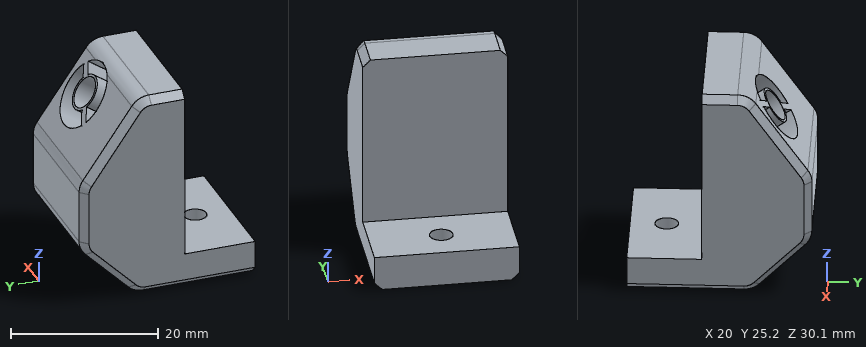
import cadquery as cq
import math

width = 20.0
depth = 25.2
height = 30.07
foot_length = 10.22
foot_height = 5.05
upper_slope_run = 8.55
upper_slope_drop = 12.25
lower_slope_size = 8.0
corner_radius = 3.0
side_chamfer = 1.05

foot_hole_diameter = 3.2
foot_hole_from_tip = 5.02

socket_diameter = 10.0
socket_depth = 5.0
socket_x = 2.92
socket_from_back = 5.08
tube_outer_diameter = 5.32
tube_bore_diameter = 4.6
tube_offset = 0.3
rib_width = 1.0
rib_angle = -36.0

back = depth
wall_front = foot_length


def make_body():
    """Side profile extruded across the width, with rounded and chamfered outer edges."""
    body = (
        cq.Workplane("YZ")
        .moveTo(0, 0)
        .lineTo(back - lower_slope_size, 0)
        .lineTo(back, lower_slope_size)
        .lineTo(back, height - upper_slope_drop)
        .lineTo(back - upper_slope_run, height)
        .lineTo(wall_front, height)
        .lineTo(wall_front, foot_height)
        .lineTo(0, foot_height)
        .close()
        .extrude(width / 2, both=True)
    )
    back_edges = cq.selectors.BoxSelector(
        (-width, wall_front + 0.3, -0.3), (width, back + 0.3, height + 0.3)
    )
    body = body.edges("|X").edges(back_edges).fillet(corner_radius)

    inner_edges = cq.selectors.BoxSelector(
        (-width, -0.3, 0.3), (width, wall_front + 0.3, height - 0.3)
    )
    outline = body.faces("<X or >X").edges()
    sharp_edges = outline.edges(inner_edges).vals()
    chamfered_edges = [edge for edge in outline.vals() if edge not in sharp_edges]
    return body.newObject(chamfered_edges).chamfer(side_chamfer)


def make_socket_cut():
    """Round socket less the rib and tube that end flush with the slope, plus the bore of the tube."""
    slope_angle = math.atan2(upper_slope_drop, upper_slope_run)
    socket_z = height - upper_slope_drop + socket_from_back * math.tan(slope_angle)
    face = cq.Plane(
        origin=(socket_x, back - socket_from_back, socket_z),
        xDir=(1, 0, 0),
        normal=(0, math.sin(slope_angle), math.cos(slope_angle)),
    )

    def cylinder(diameter, rise, up_slope):
        return (
            cq.Workplane(face)
            .workplane(offset=-socket_depth)
            .center(0, -up_slope)
            .circle(diameter / 2)
            .extrude(socket_depth + rise)
        )

    socket = cylinder(socket_diameter, corner_radius, 0)
    tube = cylinder(tube_outer_diameter, 0, tube_offset)
    rib_length = socket_diameter + 2 * tube_offset
    rib = (
        cq.Workplane(face)
        .workplane(offset=-socket_depth)
        .center(0, -tube_offset)
        .transformed(rotate=(0, 0, rib_angle))
        .rect(rib_length, rib_width)
        .extrude(socket_depth)
    )
    bore = cylinder(tube_bore_diameter, 0, tube_offset)
    return socket.cut(tube).cut(rib).union(bore)


def make_foot_hole():
    """Vertical through hole on the centre line of the foot."""
    return (
        cq.Workplane("XY")
        .center(0, foot_hole_from_tip)
        .circle(foot_hole_diameter / 2)
        .extrude(foot_height)
    )


result = make_body().cut(make_socket_cut()).cut(make_foot_hole())